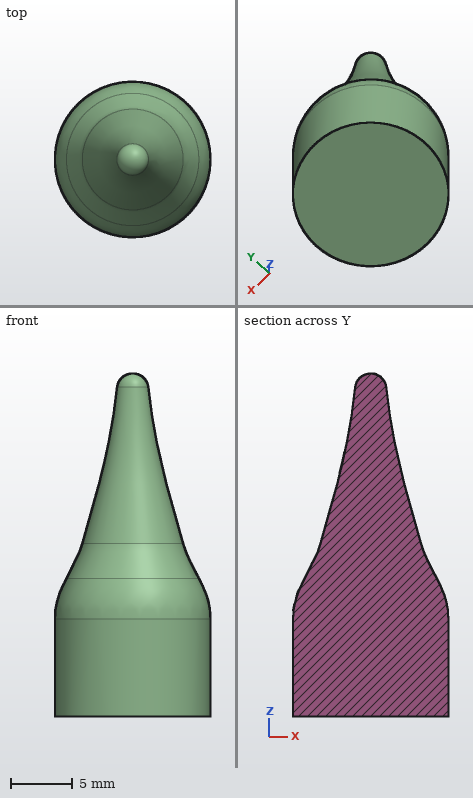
import cadquery as cq

total_height = 28.0
base_radius = 6.35
base_height = 7.98
shoulder_radius = 5.4
shoulder_height = 11.28
neck_radius = 4.12
neck_height = 14.15
tip_radius = 1.3
tip_height = 26.88

shoulder_slope = -0.52
neck_slope = -0.29
tip_slope = -0.1

base_edge = (base_radius, base_height)
shoulder_edge = (shoulder_radius, shoulder_height)
neck_edge = (neck_radius, neck_height)
tip_edge = (tip_radius, tip_height)

cap_height = total_height - tip_height
cap_sphere_radius = (tip_radius**2 + cap_height**2) / (2 * cap_height)


def flank(profile, end, start_slope, end_slope):
    """Add a smooth curve to end, with the given slopes at both ends."""
    return profile.spline(
        [end],
        tangents=[(start_slope, 1), (end_slope, 1)],
        includeCurrent=True,
    )


profile = cq.Workplane("XZ").lineTo(base_radius, 0).lineTo(*base_edge)
profile = flank(profile, shoulder_edge, 0, shoulder_slope)
profile = flank(profile, neck_edge, shoulder_slope, neck_slope)
profile = flank(profile, tip_edge, neck_slope, tip_slope)
profile = profile.radiusArc((0, total_height), -cap_sphere_radius).close()

result = profile.revolve(360, (0, 0, 0), (0, 1, 0))